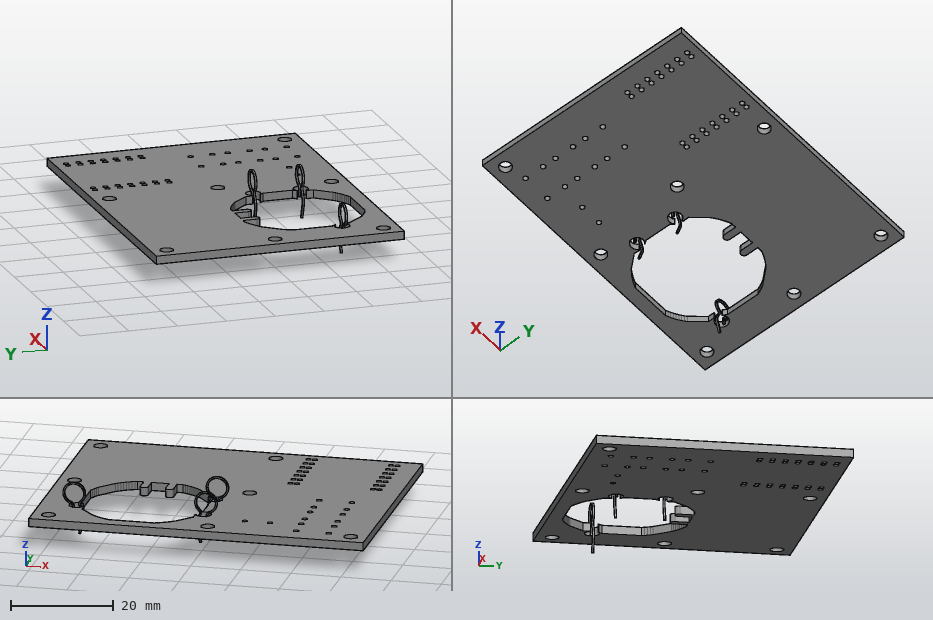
import cadquery as cq
import math

BOARD_LENGTH = 66.7
BOARD_WIDTH = 50.8
BOARD_THICKNESS = 1.7
HOLE_GRID = BOARD_WIDTH / 20

MOUNT_DIAMETER = 2.7
MOUNT_INSET = 3.2
MOUNT_UPPER_RIGHT_X = 38.15
MOUNT_LOWER_MIDDLE_X = 34.95

HEADER_DIAMETER = 1.0
HEADER_ROWS = 7
HEADER_BOTTOM_Y = 33.2
HEADER_COLUMN_XS = (45.1, 61.55)
HEADER_PAIR_PITCH = 1.3

COMPONENT_DIAMETER = 1.1
COMPONENT_COLUMN_XS = (52.3, 58.8)
COMPONENT_TOP_Y = 24.1
COMPONENT_COUNT = 3
COMPONENT_PITCH = 3 * HOLE_GRID
COMPONENT_SPAN = 4.5
LEAD_DIAMETER = 1.0
LEAD_XS = (41.2, 46.2)
LEAD_Y = 8.1

OPENING_X = 19.8
OPENING_Y = 15.2
OPENING_RADIUS = 13.1
OPENING_HALF_LENGTH = 12.15
OPENING_HALF_WIDTH = 12.3
DIAGONAL_START = 32.0
DIAGONAL_END = 50.0
SIDE_FACETS = 4
END_FACETS = 8

FINGER_PITCH = 2 * HOLE_GRID
FINGER_WIDTH = 1.6
FINGER_LENGTH = 3.6

NOTCH_DIAMETER = 2.95
NOTCH_DX = 12.7
NOTCH_DY = 4.9

LIP_FOOT_DY = 3.0
LIP_INNER_DX = 11.6
LIP_INNER_DY = 3.75
LIP_OUTER_DX = 11.1
LIP_OUTER_DY = 5.5

CLIP_DX = 13.15
STRIP_WIDTH = 0.4
STRIP_THICKNESS = 0.35
LOOP_RADIUS = 2.1
LOOP_Z = 4.1
TAIL_START = 20.0
TAIL_BEND_RADIUS = 0.8
TAIL_END_Z = -0.2
LEG_START = 40.0
WAIST_U = 1.2
WAIST_Z = 1.55
KNEE_U = 2.0
KNEE_Z = -0.6
KNEE_RADIUS = 2.7
FOOT_LEAN = 17.0
FOOT_Z = -4.1

QUADRANTS = ((1, 1), (-1, 1), (-1, -1), (1, -1))
PLAIN_QUADRANT = (-1, 1)
NOTCH_QUADRANTS = [quadrant for quadrant in QUADRANTS if quadrant != PLAIN_QUADRANT]


def through_cylinders(points, diameter):
    """Cylinders through the board's thickness, for cutting round holes."""
    return cq.Workplane("XY").pushPoints(points).circle(diameter / 2).extrude(BOARD_THICKNESS)


def notch_center(quadrant):
    side_x, side_y = quadrant
    return (OPENING_X + side_x * NOTCH_DX, OPENING_Y + side_y * NOTCH_DY)


def circle_point(angle):
    """Point on the opening's circle at an angle in degrees from the X axis."""
    turn = math.radians(angle)
    return (OPENING_RADIUS * math.cos(turn), OPENING_RADIUS * math.sin(turn))


def facet_corners(start, end, facets):
    """Evenly spaced corners on the opening's circle between two angles in degrees."""
    return [circle_point(start + (end - start) * step / facets) for step in range(facets + 1)]


def quadrant_outline(quadrant):
    """Corners of one quadrant of the opening, anticlockwise, about the opening's middle."""
    if quadrant == PLAIN_QUADRANT:
        side_angle = math.degrees(math.acos(OPENING_HALF_LENGTH / OPENING_RADIUS))
        side = facet_corners(side_angle, DIAGONAL_START, SIDE_FACETS)
    else:
        side = [
            (OPENING_HALF_LENGTH, LIP_FOOT_DY),
            (LIP_INNER_DX, LIP_INNER_DY),
            (LIP_INNER_DX, LIP_OUTER_DY),
            (LIP_OUTER_DX, LIP_OUTER_DY),
            circle_point(DIAGONAL_START),
        ]
    end_angle = math.degrees(math.asin(OPENING_HALF_WIDTH / OPENING_RADIUS))
    corners = side + facet_corners(DIAGONAL_END, end_angle, END_FACETS)
    side_x, side_y = quadrant
    if side_x != side_y:
        corners.reverse()
    return [(side_x * x, side_y * y) for x, y in corners]


def opening():
    """Cutter for the opening with its notches, leaving the two fingers standing."""
    outline = [corner for quadrant in QUADRANTS for corner in quadrant_outline(quadrant)]
    cutter = (
        cq.Workplane("XY")
        .center(OPENING_X, OPENING_Y)
        .polyline(outline)
        .close()
        .extrude(BOARD_THICKNESS)
    )
    tip_radius = FINGER_WIDTH / 2
    top_y = OPENING_Y + OPENING_HALF_WIDTH
    tip_y = top_y - FINGER_LENGTH + tip_radius
    for side in (-1, 1):
        finger_x = OPENING_X + side * FINGER_PITCH / 2
        finger = (
            cq.Workplane("XY")
            .moveTo(finger_x - tip_radius, top_y)
            .lineTo(finger_x - tip_radius, tip_y)
            .threePointArc((finger_x, tip_y - tip_radius), (finger_x + tip_radius, tip_y))
            .lineTo(finger_x + tip_radius, top_y)
            .close()
            .extrude(BOARD_THICKNESS)
        )
        cutter = cutter.cut(finger)
    notch_centers = [notch_center(quadrant) for quadrant in NOTCH_QUADRANTS]
    return cutter.union(through_cylinders(notch_centers, NOTCH_DIAMETER))


def mounting_holes():
    right_x = BOARD_LENGTH - MOUNT_INSET
    top_y = BOARD_WIDTH - MOUNT_INSET
    left_column = [(MOUNT_INSET, y) for y in (MOUNT_INSET, BOARD_WIDTH / 2, top_y)]
    upper_right = [(MOUNT_UPPER_RIGHT_X, y) for y in (BOARD_WIDTH / 2, top_y)]
    lower_row = [(x, MOUNT_INSET) for x in (MOUNT_LOWER_MIDDLE_X, right_x)]
    return through_cylinders(left_column + upper_right + lower_row, MOUNT_DIAMETER)


def header_holes():
    points = [
        (column_x + side * HEADER_PAIR_PITCH / 2, HEADER_BOTTOM_Y + row * HOLE_GRID)
        for column_x in HEADER_COLUMN_XS
        for side in (-1, 1)
        for row in range(HEADER_ROWS)
    ]
    return through_cylinders(points, HEADER_DIAMETER)


def component_holes():
    points = [
        (x, COMPONENT_TOP_Y - index * COMPONENT_PITCH - drop)
        for x in COMPONENT_COLUMN_XS
        for index in range(COMPONENT_COUNT)
        for drop in (0, COMPONENT_SPAN)
    ]
    return through_cylinders(points, COMPONENT_DIAMETER)


def lead_holes():
    return through_cylinders([(x, LEAD_Y) for x in LEAD_XS], LEAD_DIAMETER)


def make_board():
    board = cq.Workplane("XY").box(BOARD_LENGTH, BOARD_WIDTH, BOARD_THICKNESS, centered=False)
    for cutter in (opening(), mounting_holes(), header_holes(), component_holes(), lead_holes()):
        board = board.cut(cutter)
    return board


def make_clip(quadrant):
    """Strip clip standing in the notch of the given quadrant, its ends towards the opening."""
    side = quadrant[0]
    y = notch_center(quadrant)[1]
    loop_x = OPENING_X + side * CLIP_DX

    def place(u, z):
        return (loop_x - side * u, z)

    def on_loop(angle):
        """Point on the loop at an angle from straight down, positive towards the opening."""
        turn = math.radians(angle)
        return (LOOP_RADIUS * math.sin(turn), LOOP_Z - LOOP_RADIUS * math.cos(turn))

    tail_top_u, tail_top_z = on_loop(-TAIL_START)
    lean = math.radians(TAIL_START)
    tail_u = tail_top_u + TAIL_BEND_RADIUS * (1 - math.sin(lean))
    tail_z = tail_top_z - TAIL_BEND_RADIUS * math.cos(lean)

    foot_lean = math.radians(FOOT_LEAN)
    ankle_u = KNEE_U - KNEE_RADIUS * (1 - math.cos(foot_lean))
    ankle_z = KNEE_Z - KNEE_RADIUS * math.sin(foot_lean)
    foot_u = ankle_u - (ankle_z - FOOT_Z) * math.tan(foot_lean)

    path = (
        cq.Workplane("XZ", origin=(0, y, 0))
        .moveTo(*place(tail_u, TAIL_END_Z))
        .lineTo(*place(tail_u, tail_z))
        .tangentArcPoint(place(tail_top_u, tail_top_z), relative=False)
        .threePointArc(place(0, LOOP_Z + LOOP_RADIUS), place(*on_loop(LEG_START)))
        .tangentArcPoint(place(WAIST_U, WAIST_Z), relative=False)
        .tangentArcPoint(place(KNEE_U, KNEE_Z), relative=False)
        .tangentArcPoint(place(ankle_u, ankle_z), relative=False)
        .lineTo(*place(foot_u, FOOT_Z))
    )
    tail_x = place(tail_u, TAIL_END_Z)[0]
    return (
        cq.Workplane("XY", origin=(tail_x, y, TAIL_END_Z))
        .rect(STRIP_THICKNESS, STRIP_WIDTH)
        .sweep(path, transition="right")
    )


board = make_board()
clips = [make_clip(quadrant) for quadrant in NOTCH_QUADRANTS]

result = cq.Compound.makeCompound([board.val(), *[clip.val() for clip in clips]])